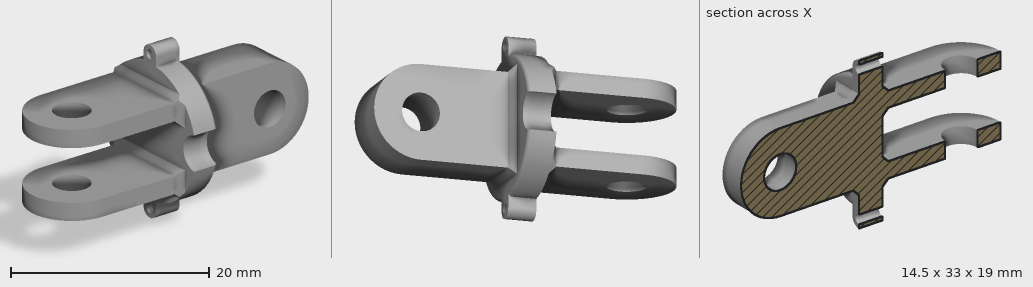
import cadquery as cq

LENGTH = 33.0
DISC_RADIUS = 7.5
DISC_THICKNESS = 3.0
DISC_EDGE_RADIUS = 0.4
NOTCH_RADIUS = 2.0

LUG_RADIUS = 1.02
LUG_TIP = 9.5
LUG_HOLE_RADIUS = 0.53

ARM_WIDTH = 10.0
ARM_END_RADIUS = ARM_WIDTH / 2
PIN_RADIUS = 2.0
FORK_GAP = 6.0
TONGUE_THICKNESS = 6.0
BASE_FLARE = 0.73

DISC_HALF = DISC_THICKNESS / 2
PIN_OFFSET = LENGTH / 2 - ARM_END_RADIUS
FORK_THICKNESS = (ARM_WIDTH - FORK_GAP) / 2
FORK_OFFSET = (FORK_GAP + FORK_THICKNESS) / 2
LUG_CENTER = LUG_TIP - LUG_RADIUS
STEM_HEIGHT = LUG_CENTER / 2


def disc_slab(radius):
    """Cylinder along Y spanning the disc thickness."""
    return cq.Workplane("XZ", origin=(0, DISC_HALF, 0)).circle(radius).extrude(DISC_THICKNESS)


def arm(thickness):
    """Flat arm running toward -Y from the disc middle, with a rounded, drilled end."""
    outline = (
        cq.Workplane("XY")
        .moveTo(-ARM_END_RADIUS, 0)
        .lineTo(-ARM_END_RADIUS, -PIN_OFFSET)
        .threePointArc((0, -LENGTH / 2), (ARM_END_RADIUS, -PIN_OFFSET))
        .lineTo(ARM_END_RADIUS, 0)
        .close()
        .extrude(thickness / 2, both=True)
    )
    pin_hole = cq.Workplane("XY").center(0, -PIN_OFFSET).circle(PIN_RADIUS).extrude(thickness, both=True)
    return outline.cut(pin_hole)


def base_flare(thickness):
    """45-degree flare where an arm meets the -Y face of the disc."""
    return (
        cq.Workplane("XZ", origin=(0, -DISC_HALF, 0))
        .rect(ARM_WIDTH + 2 * BASE_FLARE, thickness + 2 * BASE_FLARE)
        .workplane(offset=BASE_FLARE)
        .rect(ARM_WIDTH, thickness)
        .loft(ruled=True)
    )


body = disc_slab(DISC_RADIUS).faces(">Y").edges().fillet(DISC_EDGE_RADIUS)

flare_limit = cq.Workplane("XZ").circle(DISC_RADIUS).extrude(LENGTH / 2)
for side in (-1, 1):
    shift = (0, 0, side * FORK_OFFSET)
    flare = base_flare(FORK_THICKNESS).translate(shift).intersect(flare_limit)
    body = body.union(arm(FORK_THICKNESS).translate(shift)).union(flare)

tongue = arm(TONGUE_THICKNESS).union(base_flare(TONGUE_THICKNESS))
tongue = tongue.rotate((0, 0, 0), (0, 0, 1), 180).rotate((0, 0, 0), (0, 1, 0), 90)
body = body.union(tongue)

for side in (-1, 1):
    tip = (0, 0, side * LUG_CENTER)
    stem = cq.Workplane("XY").box(2 * LUG_RADIUS, DISC_THICKNESS, STEM_HEIGHT)
    stem = stem.translate((0, 0, side * (LUG_CENTER - STEM_HEIGHT / 2)))
    body = body.union(stem).union(disc_slab(LUG_RADIUS).translate(tip))
    body = body.cut(disc_slab(LUG_HOLE_RADIUS).translate(tip))

for side in (-1, 1):
    body = body.cut(disc_slab(NOTCH_RADIUS).translate((side * DISC_RADIUS, 0, 0)))

result = body